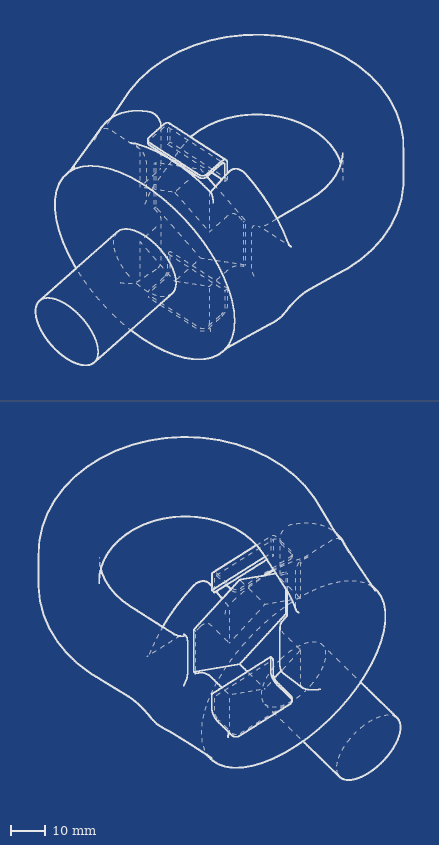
import cadquery as cq
import math

STUD_DIAMETER = 24.0
STUD_LENGTH = 35.0

BASE_DIAMETER = 69.0
BAND_HEIGHT = 2.8
BODY_HEIGHT = 24.2
FLANK_ANGLE = 11.0

HEX_ACROSS_FLATS = 34.3
HEX_TOP = 25.0

RING_WIDTH = 85.6
RING_THICKNESS = 18.7
EYE_RADIUS = 25.1
EYE_LEG_ANGLE = 12.0
OVERALL_LENGTH = 128.0

OUTER_EDGE_RADIUS = 2.2
EYE_EDGE_RADIUS = 3.5
ROOT_RADIUS = 4.5

WINDOW_WIDTH = 26.6
WINDOW_FLOOR = 13.3
WINDOW_EDGE_RADIUS = 3.6

CLIP_WIDTH = 22.0
CLIP_THICKNESS = 1.2
CLIP_OUTER_Z = 34.5
CLIP_INNER_Z = 24.3
CLIP_BEND_RADIUS = 3.1
CLIP_CORNER_RADIUS = 1.5

TOLERANCE = 0.01

BASE_RADIUS = BASE_DIAMETER / 2
FLANK_SLOPE = math.tan(math.radians(FLANK_ANGLE))
RING_RADIUS = RING_WIDTH / 2
RING_CENTRE_Y = OVERALL_LENGTH - STUD_LENGTH - RING_RADIUS
HEX_CORNER_RADIUS = HEX_ACROSS_FLATS / math.sqrt(3)
ROOT_TOP = BODY_HEIGHT + ROOT_RADIUS


def cone_radius(y):
    """Radius of the conical body at height y above the base."""
    return BASE_RADIUS + (y - BAND_HEIGHT) * FLANK_SLOPE


def ring_point(radius, angle_below_centre):
    """Point on a circle about the ring centre, on the +X side."""
    angle = math.radians(angle_below_centre)
    return radius * math.cos(angle), RING_CENTRE_Y - radius * math.sin(angle)


def make_cone(top):
    """Base band and cone, up to the height `top`."""
    rim = cone_radius(top)
    outline = [(0, 0), (BASE_RADIUS, 0), (BASE_RADIUS, BAND_HEIGHT), (rim, top), (0, top)]
    return cq.Workplane("XY").polyline(outline).close().revolve(360, (0, 0, 0), (0, 1, 0))


def make_shoulder():
    """Blend from the round rim of the cone to the straight sides of the ring."""
    half = RING_THICKNESS / 2
    rim = cone_radius(ROOT_TOP)
    edge_x = math.sqrt(rim**2 - half**2)
    x, y = ring_point(RING_RADIUS, FLANK_ANGLE)
    lower = (
        cq.Workplane("XZ", origin=(0, ROOT_TOP, 0)).moveTo(-edge_x, -half).lineTo(edge_x, -half)
        .threePointArc((rim, 0), (edge_x, half)).lineTo(-edge_x, half)
        .threePointArc((-rim, 0), (-edge_x, -half)).wire()
    )
    corners = [(-x, -half), (x, -half), (x, half), (-x, half)]
    upper = cq.Workplane("XZ", origin=(0, y, 0)).polyline(corners).close()
    return cq.Workplane(cq.Solid.makeLoft([lower.val(), upper.val()], True))


def make_ring_head():
    """Round upper part of the ring, before the eye is opened."""
    x, y = ring_point(RING_RADIUS, FLANK_ANGLE)
    top = RING_CENTRE_Y + RING_RADIUS
    outline = cq.Workplane("XY").moveTo(x, y).threePointArc((0, top), (-x, y)).close()
    return outline.extrude(RING_THICKNESS / 2, both=True)


def make_side_profile():
    """T-shaped outline of body and ring in the YZ plane, extruded past both sides."""
    half = RING_THICKNESS / 2
    root = half + ROOT_RADIUS
    rim = cone_radius(ROOT_TOP)
    top = OVERALL_LENGTH - STUD_LENGTH
    return (
        cq.Workplane("YZ").moveTo(0, rim).lineTo(BODY_HEIGHT, rim).lineTo(BODY_HEIGHT, root)
        .radiusArc((ROOT_TOP, half), -ROOT_RADIUS).lineTo(top, half)
        .lineTo(top, -half).lineTo(ROOT_TOP, -half)
        .radiusArc((BODY_HEIGHT, -root), -ROOT_RADIUS).lineTo(BODY_HEIGHT, -rim).lineTo(0, -rim)
        .close().extrude(RING_WIDTH, both=True)
    )


def make_eye_opening():
    """Opening between the legs, carried below the body top so that its edge runs out smoothly."""
    x, y = ring_point(EYE_RADIUS, EYE_LEG_ANGLE)
    foot_x = x - (y - WINDOW_FLOOR) * math.tan(math.radians(EYE_LEG_ANGLE))
    return (
        cq.Workplane("XY").moveTo(foot_x, WINDOW_FLOOR).lineTo(x, y)
        .threePointArc((0, RING_CENTRE_Y + EYE_RADIUS), (-x, y))
        .lineTo(-foot_x, WINDOW_FLOOR).close()
        .extrude(RING_WIDTH, both=True)
    )


def is_outer_edge(edge):
    """Edge where the ring faces or the body top meet the outer sides."""
    middle = edge.positionAt(0.5)
    on_rim = math.hypot(middle.x, middle.z) > BASE_RADIUS
    on_crown = middle.y > RING_CENTRE_Y + EYE_RADIUS + EYE_EDGE_RADIUS
    on_face = abs(middle.z) > RING_THICKNESS / 2 - TOLERANCE
    return on_face and middle.y > BODY_HEIGHT - TOLERANCE and (on_rim or on_crown)


def is_eye_edge(edge):
    """Edge where the eye opening meets a ring face, its root or the body top."""
    box = edge.BoundingBox()
    within_eye = max(-box.xmin, box.xmax) < EYE_RADIUS + TOLERANCE
    above_body = box.ymin > BODY_HEIGHT - TOLERANCE
    on_face = abs(edge.Center().z) > RING_THICKNESS / 2 - TOLERANCE
    return within_eye and above_body and on_face


def cut_windows(body):
    """Two windows, open upwards, from the hexagon out through the +Z and -Z flanks."""
    for side in (1, -1):
        window = (
            cq.Workplane("XY", origin=(0, WINDOW_FLOOR, side * HEX_CORNER_RADIUS / 2))
            .moveTo(-WINDOW_WIDTH / 2, 0).lineTo(WINDOW_WIDTH / 2, 0)
            .lineTo(WINDOW_WIDTH / 2, BODY_HEIGHT).lineTo(-WINDOW_WIDTH / 2, BODY_HEIGHT).close()
            .extrude(side * BASE_DIAMETER)
        )
        body = body.cut(window)
    return body


def is_window_mouth(edge):
    """Edge where a window breaks through the conical flank."""
    box = edge.BoundingBox()
    outside = min(abs(box.zmin), abs(box.zmax)) > WINDOW_WIDTH
    beside_window = max(-box.xmin, box.xmax) < WINDOW_WIDTH / 2 + TOLERANCE
    return outside and beside_window and box.ymin > WINDOW_FLOOR - TOLERANCE


def make_hexagon():
    """Hexagon between the windows, with corners toward +Z and -Z."""
    outline = cq.Workplane("XZ").transformed(rotate=(0, 0, 90)).polygon(6, 2 * HEX_CORNER_RADIUS)
    return outline.extrude(-HEX_TOP)


def make_stud():
    return cq.Workplane("XZ").circle(STUD_DIAMETER / 2).extrude(STUD_LENGTH)


def make_eye_bolt():
    envelope = make_cone(ROOT_TOP).union(make_shoulder()).union(make_ring_head())
    eye = envelope.intersect(make_side_profile()).cut(make_eye_opening())
    eye = eye.edges().filter(is_eye_edge).fillet(EYE_EDGE_RADIUS)
    eye = cut_windows(eye.union(make_cone(BODY_HEIGHT)))
    eye = eye.edges().filter(is_window_mouth).fillet(WINDOW_EDGE_RADIUS)
    eye = eye.edges().filter(is_outer_edge).fillet(OUTER_EDGE_RADIUS)
    return eye.union(make_hexagon()).union(make_stud())


def make_clip():
    """Clip on the +Z side: a leg level with the body top and a tab bent down over the window."""
    inner_bend = CLIP_BEND_RADIUS - CLIP_THICKNESS
    inside_z = CLIP_OUTER_Z - CLIP_THICKNESS
    underside = BODY_HEIGHT - CLIP_THICKNESS
    strip = (
        cq.Workplane("YZ").moveTo(BODY_HEIGHT, CLIP_INNER_Z)
        .lineTo(BODY_HEIGHT, CLIP_OUTER_Z - CLIP_BEND_RADIUS)
        .radiusArc((BODY_HEIGHT - CLIP_BEND_RADIUS, CLIP_OUTER_Z), -CLIP_BEND_RADIUS)
        .lineTo(WINDOW_FLOOR, CLIP_OUTER_Z).lineTo(WINDOW_FLOOR, inside_z)
        .lineTo(underside - inner_bend, inside_z)
        .radiusArc((underside, inside_z - inner_bend), inner_bend)
        .lineTo(underside, CLIP_INNER_Z).close()
        .extrude(CLIP_WIDTH / 2, both=True)
    )
    return strip.faces("<Y").edges("|Z").fillet(CLIP_CORNER_RADIUS)


def make_clips():
    """One clip on each side of the stud axis."""
    return [make_clip().rotate((0, 0, 0), (0, 1, 0), angle).val() for angle in (0, 180)]


eye_bolt = make_eye_bolt()
clips = make_clips()
result = cq.Compound.makeCompound([eye_bolt.val(), *clips])